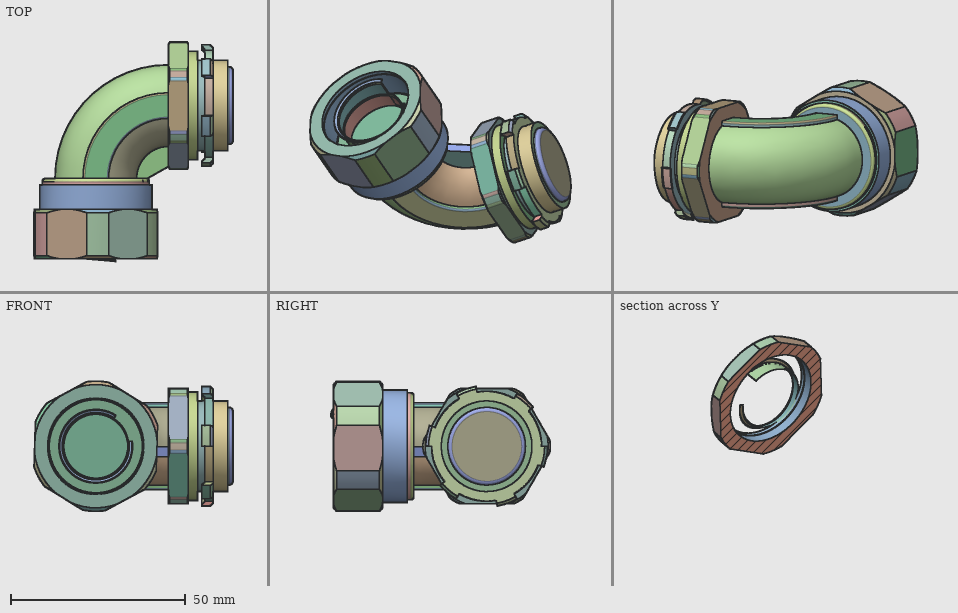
import cadquery as cq
import math


half_hexagon_step = 30

bend_radius = 20.8
tube_diameter = 23.45
band_width = 7.35
band_height = 25.05
band_edge_radius = 0.5

gusset_low_z = -2.95
gusset_high_z = -0.1
gusset_reach_y = -17.5
gusset_reach_x = 14.9

flange_diameter = 30.75
flange_fillet = 0.95
collar_diameter = 32.3
collar_start = 22.7

nut_start = 29.75
nut_end = 43.9
nut_across_flats = 35.05
nut_corner_diameter = 37.35
nut_end_diameter = 35.3
nut_chamfer_length = 0.95
nut_turn_angle = -1.8
mouth_diameter = 27.4
mouth_length = 1.4
undercut_diameter = 27.8
cavity_floor = 34.3
floor_diameter = 26.7
floor_bevel_depth = 0.4

bore_radius = 18.3 / 2
bore_floor = 34.0
tube_radius = 9.45
tube_end = 39.4
tube_bevel_depth = 0.8
wall_inner_radius = 9.3
wall_outer_radius = 9.6
rim_outer_radius = 10.6
rim_crest_radius = 10.4
rim_throat_radius = 9.55
rim_edge_drop = 0.2
rim_throat_drop = 0.45
rim_skirt_drop = 0.55
wall_bevel_drop = 1.0
rim_low_angle = 8.0
rim_high_angle = 57.0
rim_low = 39.8
rim_high = 44.65
wall_root_depth = 1.25

hexagon_end = 26.55
hexagon_across_flats = 33.1
hexagon_corner_diameter = 36.5
hexagon_end_diameter = 35.2
hexagon_chamfer_length = 0.4
hexagon_corner_fillet = 2.25

shoulder_diameter = 31.2
shoulder_end = 29.2
thread_diameter = 26.0
thread_end = 37.8
nose_diameter = 22.3
nose_end = 39.3
nose_fillet = 1.15

ring_start = 31.25
ring_end = 33.6
ring_radius = 15.8
tab_radius = 17.4
tab_start = 30.3
tab_lip = 0.45
tab_foot_radius = 12.3
tab_bevel = 0.8
tab_curl_inset = 0.25
tab_curl_rise = 0.55
tab_count = 6
tab_first_angle = 40.0
tab_sweep = 20.0


def cylinder(plane, start, end, diameter):
    """Round bar along the plane normal, from start to end."""
    return cq.Workplane(plane).workplane(offset=start).circle(diameter / 2).extrude(end - start)


def hexagon_bar(plane, start, end, across_flats):
    """Hexagonal bar along the plane normal, with corners on the local x axis."""
    across_corners = across_flats / math.cos(math.radians(half_hexagon_step))
    return cq.Workplane(plane).workplane(offset=start).polygon(6, across_corners).extrude(end - start)


def bevelled_bar(plane, start, end, diameter, end_diameter, bevel_length):
    """Round bar with a conical bevel at both ends."""
    radius = diameter / 2
    end_radius = end_diameter / 2
    half_section = [
        (0, start),
        (end_radius, start),
        (radius, start + bevel_length),
        (radius, end - bevel_length),
        (end_radius, end),
        (0, end),
    ]
    return revolve_section(half_section, plane)


def revolve_section(section, plane):
    """Turn a (radius, distance along normal) section fully about the plane normal."""
    solid = cq.Workplane("XZ").polyline(section).close().revolve(360, (0, 0, 0), (0, 1, 0))
    return cq.Workplane(plane).newObject([solid.val().moved(cq.Plane.named(plane).location)])


def make_elbow():
    """Quarter torus with a raised flat band, ending on the inlet and outlet faces."""
    start_plane = cq.Plane(origin=(0, -bend_radius, 0), xDir=(1, 0, 0), normal=(0, 1, 0))
    axis_start = (bend_radius, 0, 0)
    axis_end = (bend_radius, 1, 0)
    tube = cq.Workplane(start_plane).circle(tube_diameter / 2).revolve(90, axis_start, axis_end)
    band_section = cq.Sketch().rect(band_width, band_height).vertices().fillet(band_edge_radius)
    band = cq.Workplane(start_plane).placeSketch(band_section).revolve(90, axis_start, axis_end)
    return tube.union(band)


def make_gusset():
    """Plate filling the inner corner between the inlet flange and the outlet hexagon."""
    return (
        cq.Workplane("XY")
        .workplane(offset=gusset_low_z)
        .moveTo(0, 0)
        .lineTo(bend_radius, 0)
        .lineTo(bend_radius, gusset_reach_y)
        .lineTo(gusset_reach_x, -bend_radius)
        .lineTo(0, -bend_radius)
        .close()
        .extrude(gusset_high_z - gusset_low_z)
    )


def make_inlet():
    """Flange, collar, hexagonal nut with an open cavity, and the low ferrule tube inside it."""
    flange = cylinder("XZ", bend_radius, collar_start, flange_diameter)
    flange = flange.faces(">Y").edges().fillet(flange_fillet)
    collar = cylinder("XZ", collar_start, nut_start, collar_diameter)
    blank = bevelled_bar("XZ", nut_start, nut_end, nut_corner_diameter, nut_end_diameter, nut_chamfer_length)
    hexagon = hexagon_bar("XZ", nut_start, nut_end, nut_across_flats)
    nut = hexagon.rotate((0, 0, 0), (0, -1, 0), half_hexagon_step + nut_turn_angle).intersect(blank)
    cavity_section = [
        (0, cavity_floor),
        (floor_diameter / 2, cavity_floor),
        (mouth_diameter / 2, cavity_floor - floor_bevel_depth),
        (undercut_diameter / 2, cavity_floor - floor_bevel_depth),
        (undercut_diameter / 2, nut_end - mouth_length),
        (mouth_diameter / 2, nut_end - mouth_length),
        (mouth_diameter / 2, nut_end),
        (0, nut_end),
    ]
    cavity = revolve_section(cavity_section, "XZ")
    tube = cylinder("XZ", cavity_floor, tube_end, 2 * tube_radius)
    return flange.union(collar).union(nut).cut(cavity).union(tube).cut(make_bore())


def make_bore():
    """Blind bore of the ferrule tube, bevelled at the open end."""
    bore_section = [
        (0, bore_floor),
        (bore_radius, bore_floor),
        (bore_radius, tube_end - tube_bevel_depth),
        (tube_radius, tube_end),
        (0, tube_end),
    ]
    return revolve_section(bore_section, "XZ")


def make_ferrule_wall():
    """Thin wall with a flared rim, swept along a left-hand helix and rooted in the cavity floor."""
    climb = rim_high - rim_low
    turn = 360 - (rim_high_angle - rim_low_angle)
    root = cavity_floor - wall_root_depth - rim_high
    wall_section = [
        (wall_inner_radius, root),
        (wall_outer_radius, root),
        (wall_outer_radius, -rim_skirt_drop),
        (rim_outer_radius, -rim_edge_drop),
        (rim_crest_radius, 0),
        (rim_throat_radius, -rim_throat_drop),
        (wall_inner_radius, -wall_bevel_drop),
    ]
    helix = cq.Wire.makeHelix(climb * 360 / turn, climb, rim_crest_radius, lefthand=True)
    wall = cq.Workplane("XZ").polyline(wall_section).close().sweep(cq.Workplane(helix), isFrenet=True)
    wall = wall.rotate((0, 0, 0), (0, 0, 1), rim_low_angle).translate((0, 0, rim_low))
    return wall.rotate((0, 0, 0), (1, 0, 0), 90)


def make_outlet():
    """Hexagon with rounded corners, shoulder, threaded length and rounded nose."""
    blank = cylinder("YZ", bend_radius, hexagon_end, hexagon_corner_diameter)
    hexagon = hexagon_bar("YZ", bend_radius, hexagon_end, hexagon_across_flats).intersect(blank)
    hexagon = hexagon.edges("|X").fillet(hexagon_corner_fillet)
    bevel = bevelled_bar(
        "YZ", bend_radius, hexagon_end, hexagon_corner_diameter, hexagon_end_diameter, hexagon_chamfer_length
    )
    shoulder = cylinder("YZ", hexagon_end, shoulder_end, shoulder_diameter)
    thread = cylinder("YZ", shoulder_end, thread_end, thread_diameter)
    nose = cylinder("YZ", thread_end, nose_end, nose_diameter)
    nose = nose.faces(">X").edges().fillet(nose_fillet)
    return hexagon.intersect(bevel).union(shoulder).union(thread).union(nose)


def make_tabbed_ring():
    """Ring around the thread with tabs that curl back toward the hexagon."""
    ring = cylinder("YZ", ring_start, ring_end, 2 * ring_radius)
    underside_middle = (ring_start - tab_curl_inset, ring_radius + tab_curl_rise)
    tab = (
        cq.Workplane("XY")
        .moveTo(ring_start, tab_foot_radius)
        .lineTo(ring_start, ring_radius)
        .threePointArc(underside_middle, (tab_start, tab_radius - tab_lip))
        .lineTo(tab_start, tab_radius)
        .lineTo(ring_end - tab_bevel, tab_radius)
        .lineTo(ring_end, tab_radius - tab_bevel)
        .lineTo(ring_end, tab_foot_radius)
        .close()
        .revolve(tab_sweep, (0, 0, 0), (1, 0, 0))
    )
    for index in range(tab_count):
        angle = tab_first_angle + index * 360 / tab_count
        ring = ring.union(tab.rotate((0, 0, 0), (1, 0, 0), angle))
    return ring


result = (
    make_elbow()
    .union(make_gusset())
    .union(make_inlet())
    .union(make_ferrule_wall())
    .union(make_outlet())
    .union(make_tabbed_ring())
)